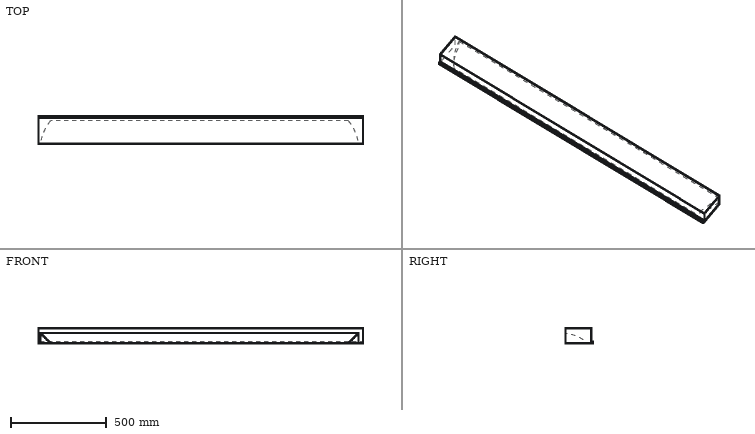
import cadquery as cq

length = 1699.0
depth = 146.0
height = 80.0

ledge_depth = 10.0
ledge_height = 10.0

top_margin = 25.0
left_margin = 10.0
right_margin = 24.0

cavity_height = height - top_margin
cavity_depth = 122.0

curve_mid_inset = 19.0
curve_mid_depth = 65.0

body_depth = depth - ledge_depth
cavity_right = length - right_margin


def make_body():
    """Solid beam with the ledge running along its full length."""
    beam = cq.Workplane("XY").box(length, body_depth, height, centered=False)
    ledge = (
        cq.Workplane("XY")
        .box(length, ledge_depth, ledge_height, centered=False)
        .translate((0, body_depth, 0))
    )
    return beam.union(ledge)


def make_cavity():
    """Intersection of the roof and end profiles, which meet in mitred corners."""
    roof_profile = (
        cq.Workplane("YZ")
        .moveTo(0, 0)
        .lineTo(0, cavity_height)
        .threePointArc((curve_mid_depth, cavity_height - curve_mid_inset), (cavity_depth, 0))
        .close()
        .extrude(length)
    )
    end_profile = (
        cq.Workplane("XY")
        .moveTo(left_margin, 0)
        .threePointArc(
            (left_margin + curve_mid_inset, curve_mid_depth),
            (left_margin + cavity_height, cavity_depth),
        )
        .lineTo(cavity_right - cavity_height, cavity_depth)
        .threePointArc((cavity_right - curve_mid_inset, curve_mid_depth), (cavity_right, 0))
        .close()
        .extrude(cavity_height)
    )
    return roof_profile.intersect(end_profile)


result = make_body().cut(make_cavity())